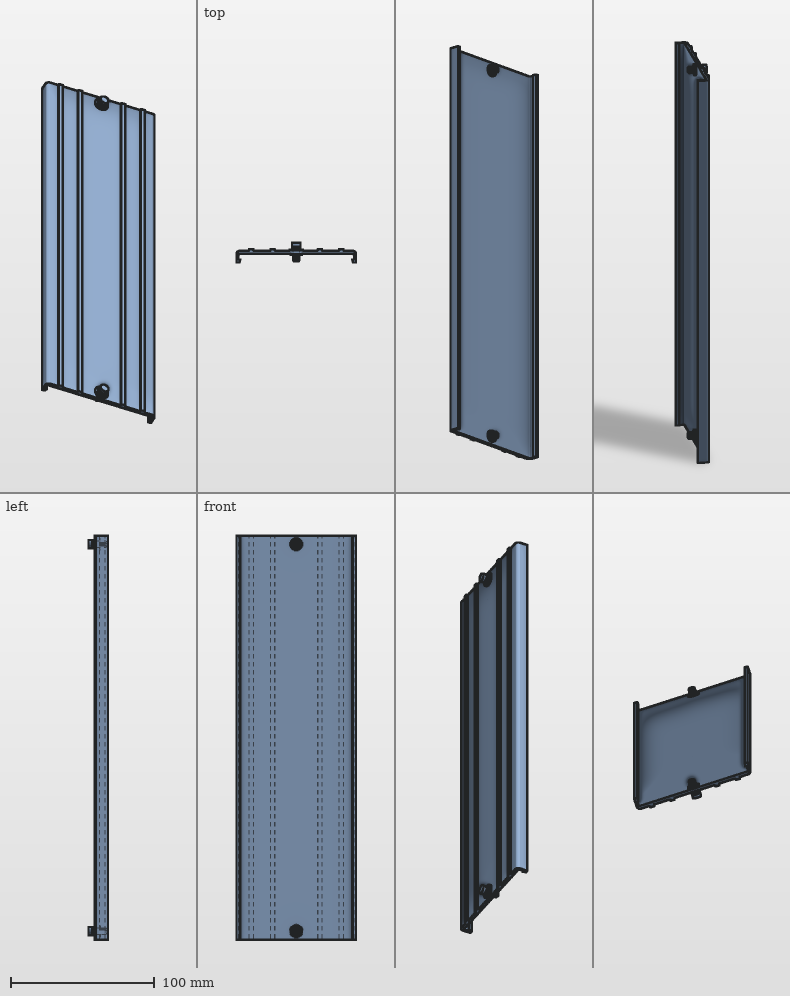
import cadquery as cq
import math

panel_width = 83.2
panel_length = 281.0
total_depth = 13.81
plate_thickness = 2.2
flange_depth = 8.3
flange_thickness = 1.6
outer_corner_radius = 2.5
inner_corner_radius = 0.5
lip_tip_width = 2.2
lip_hook_width = 2.68
lip_depth = 2.3

rib_height = 1.14
rib_base_width = 3.3
rib_draft_angle = 10.0
rib_offsets = (16.4, 31.3)

edge_distance = 6.0
head_diameter = 6.0
back_collar_diameter = 9.6
back_collar_thickness = 0.8
front_collar_diameter = 8.0
front_collar_thickness = 0.8
shank_diameter = 4.6
shank_chamfer = 0.8
shank_recess = 0.9
slot_width = 1.0
slot_depth = 1.2
thread_pitch = 0.8
thread_depth = 0.25
thread_count = 4
neck_ring_height = 0.8
neck_groove_width = 1.4
neck_groove_depth = 0.3
collar_rim_width = 0.3
collar_root_diameter = 6.2
collar_root_thickness = 0.2

tip_y = -total_depth / 2
head_y = total_depth / 2
back_y = tip_y + flange_depth
inner_y = back_y - plate_thickness
shank_end_y = tip_y + shank_recess

half_width = panel_width / 2
half_length = panel_length / 2
fastener_z = half_length - edge_distance


def make_shell():
    """Plate with a rounded outer corner at each flange."""
    shell = (
        cq.Workplane("XY", origin=(0, (tip_y + back_y) / 2, -half_length))
        .rect(panel_width, flange_depth)
        .extrude(panel_length)
        .edges("|Z and >Y")
        .fillet(outer_corner_radius)
    )
    cavity_width = panel_width - 2 * flange_thickness
    cavity_depth = inner_y - tip_y
    cavity = (
        cq.Workplane("XY", origin=(0, tip_y + cavity_depth / 2, -half_length))
        .rect(cavity_width, cavity_depth)
        .extrude(panel_length)
        .edges("|Z and >Y")
        .fillet(inner_corner_radius)
    )
    return shell.cut(cavity)


def make_lip(side):
    """Barb along the free edge of one flange: widest at its inner end, tapering to the tip."""
    buried_x = half_width - flange_thickness / 2
    hook_y = tip_y + lip_depth
    return (
        cq.Workplane("XY", origin=(0, 0, -half_length))
        .moveTo(side * buried_x, tip_y)
        .lineTo(side * (half_width - lip_tip_width), tip_y)
        .lineTo(side * (half_width - lip_hook_width), hook_y)
        .lineTo(side * buried_x, hook_y)
        .close()
        .extrude(panel_length)
    )


def make_rib(x):
    """Drafted rib on the back face, rooted in the plate."""
    top_half_width = rib_base_width / 2 - rib_height * math.tan(math.radians(rib_draft_angle))
    return (
        cq.Workplane("XY", origin=(x, 0, -half_length))
        .moveTo(-rib_base_width / 2, inner_y)
        .lineTo(-rib_base_width / 2, back_y)
        .lineTo(-top_half_width, back_y + rib_height)
        .lineTo(top_half_width, back_y + rib_height)
        .lineTo(rib_base_width / 2, back_y)
        .lineTo(rib_base_width / 2, inner_y)
        .close()
        .extrude(panel_length)
    )


def make_fastener_hole(z):
    """Cutter for the hole through the plate, a close fit on the shank."""
    return (
        cq.Workplane("XZ", origin=(0, back_y, z))
        .circle(shank_diameter / 2)
        .extrude(plate_thickness)
    )


def make_panel():
    panel = make_shell()
    for side in (-1, 1):
        panel = panel.union(make_lip(side))
        for offset in rib_offsets:
            panel = panel.union(make_rib(side * offset))
    for side in (-1, 1):
        panel = panel.cut(make_fastener_hole(side * fastener_z))
    return panel


def make_shank():
    """Outline of the grooved shank, revolved about the Y axis, with a driver slot across its end."""
    radius = shank_diameter / 2
    outline = (
        cq.Workplane("XY")
        .moveTo(0, back_y)
        .lineTo(radius, back_y)
        .lineTo(radius, shank_end_y + shank_chamfer + thread_count * thread_pitch)
    )
    for index in reversed(range(thread_count)):
        crest_y = shank_end_y + shank_chamfer + index * thread_pitch
        root_y = crest_y + thread_pitch / 2
        outline = outline.lineTo(radius - thread_depth, root_y).lineTo(radius, crest_y)
    shank = (
        outline.lineTo(radius - shank_chamfer, shank_end_y)
        .lineTo(0, shank_end_y)
        .close()
        .revolve(360, (0, 0, 0), (0, 1, 0))
    )
    slot = cq.Workplane("XY", origin=(0, shank_end_y, 0)).box(shank_diameter, 2 * slot_depth, slot_width)
    return shank.cut(slot)


def make_front_collar():
    """Collar against the inner face of the plate, dished from its rim to a thin flat root."""
    rim_y = inner_y - front_collar_thickness
    outer_radius = front_collar_diameter / 2
    return (
        cq.Workplane("XY")
        .moveTo(0, inner_y)
        .lineTo(outer_radius, inner_y)
        .lineTo(outer_radius, rim_y)
        .lineTo(outer_radius - collar_rim_width, rim_y)
        .lineTo(collar_root_diameter / 2, inner_y - collar_root_thickness)
        .lineTo(0, inner_y - collar_root_thickness)
        .close()
        .revolve(360, (0, 0, 0), (0, 1, 0))
    )


def make_head():
    """Collar against the back of the plate and a round head with a V groove around its neck."""
    radius = head_diameter / 2
    collar_radius = back_collar_diameter / 2
    collar_y = back_y + back_collar_thickness
    groove_start_y = collar_y + neck_ring_height
    groove_end_y = groove_start_y + neck_groove_width
    return (
        cq.Workplane("XY")
        .moveTo(0, back_y)
        .lineTo(collar_radius, back_y)
        .lineTo(collar_radius, collar_y)
        .lineTo(radius, collar_y)
        .lineTo(radius, groove_start_y)
        .lineTo(radius - neck_groove_depth, (groove_start_y + groove_end_y) / 2)
        .lineTo(radius, groove_end_y)
        .lineTo(radius, head_y)
        .lineTo(0, head_y)
        .close()
        .revolve(360, (0, 0, 0), (0, 1, 0))
    )


def make_fastener(z):
    fastener = make_shank().union(make_front_collar()).union(make_head())
    return fastener.translate((0, 0, z))


panel = make_panel()
fasteners = [make_fastener(side * fastener_z) for side in (-1, 1)]

result = cq.Compound.makeCompound([panel.val(), *[fastener.val() for fastener in fasteners]])